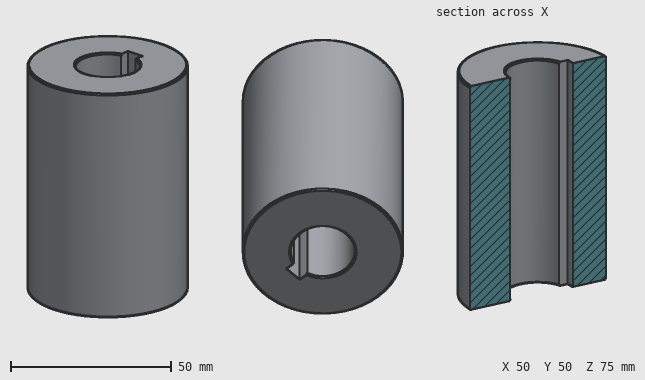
import cadquery as cq

outer_diameter = 50.0
length = 75.0
bore_diameter = 20.0
keyway_width = 6.0
keyway_height = 22.8
edge_chamfer = 0.5

bore_radius = bore_diameter / 2
keyway_floor_y = keyway_height - bore_radius


def make_sleeve():
    """Round sleeve along Z with a through bore and chamfered end edges."""
    sleeve = cq.Workplane("XY").circle(outer_diameter / 2).circle(bore_radius).extrude(length)
    return sleeve.faces("<Z or >Z").edges().chamfer(edge_chamfer)


def make_keyway_cutter():
    """Full-length bar from the bore axis to the keyway floor on the +Y side."""
    return cq.Workplane("XY").box(
        keyway_width, keyway_floor_y, length, centered=(True, False, False)
    )


result = make_sleeve().cut(make_keyway_cutter())